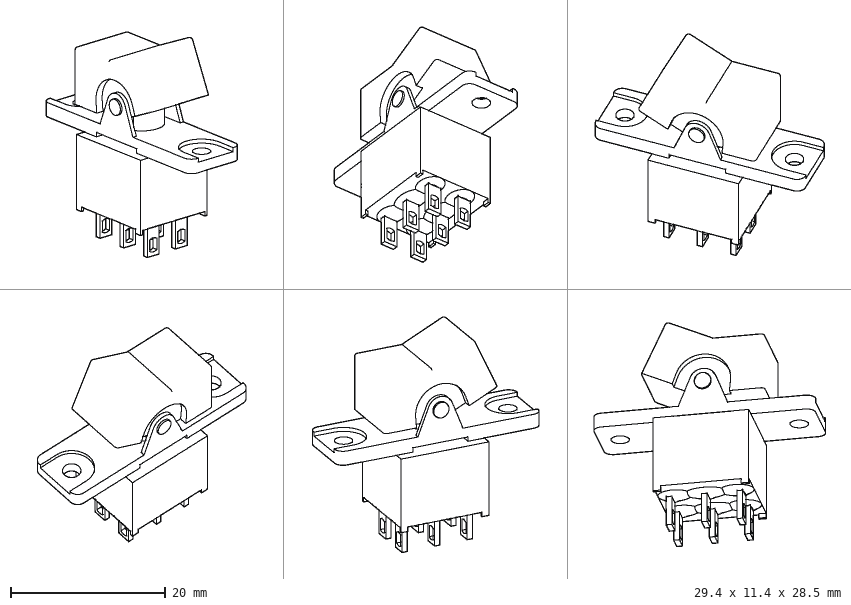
import cadquery as cq
import math


PLATE_LENGTH = 29.35
PLATE_WIDTH = 8.7
PLATE_THICKNESS = 2.0
PLATE_CORNER_RADIUS = 1.2
SCREW_SPACING = 23.72
SCREW_HOLE_DIAMETER = 2.38
SCREW_POCKET_WIDTH = 5.95
SCREW_POCKET_DEPTH = 0.55
UNDERSIDE_SLOT_LENGTH = 7.95
UNDERSIDE_SLOT_HEIGHT = 0.62

COLLAR_DIAMETER = 6.37
COLLAR_WIDTH = 5.52
NECK_DIAMETER = 5.95
NECK_WIDTH = 5.23

PIVOT_HEIGHT = 5.28
PIVOT_DIAMETER = 2.2
EAR_TIP_RADIUS = 1.82
EAR_BASE_LENGTH = 6.52
EAR_THICKNESS = 0.6

ROCKER_WIDTH = 9.25
ROCKER_TILT = 12.5
ROCKER_TOP = 6.08
ROCKER_BOTTOM = -1.82
ROCKER_REACH = 8.2
ROCKER_FILLET = 0.47
RECESS_RADIUS = 3.73
RECESS_DEPTH = 1.05
RECESS_FLARE = 7.0

BODY_LENGTH = 12.7
BODY_WIDTH = 11.42
BODY_HEIGHT = 10.42
FOOT_LENGTH = 1.0
FOOT_WIDTH = 0.38
FOOT_HEIGHT = 0.62

TERMINAL_BOTTOM = -14.4
TERMINAL_THICKNESS = 0.75
TERMINAL_WIDTH = 2.03
TERMINAL_PITCH_X = 4.7
TERMINAL_PITCH_Y = 4.82
EYE_WIDTH = 1.17
EYE_HEIGHT = 1.9
EYE_CROWN = 0.18
EYE_END_GAP = 0.55
CONE_HEIGHT = 0.6
CONE_TIP_LENGTH = 1.0
CONE_TIP_WIDTH = 2.1
CONE_BASE_WIDTH = 3.4
CONE_OVERLAP = 0.47

PLATE_TOP = PLATE_THICKNESS
RECESS_FLOOR = ROCKER_WIDTH / 2 - RECESS_DEPTH
SEAL_LEVEL = FOOT_HEIGHT - BODY_HEIGHT
CAVITY_LENGTH = BODY_LENGTH - 2 * FOOT_LENGTH
CAVITY_WIDTH = BODY_WIDTH - 2 * FOOT_WIDTH


def block(length, width, bottom, top):
    """Box centred on the Z axis between two heights."""
    return cq.Workplane("XY", origin=(0, 0, bottom)).rect(length, width).extrude(top - bottom)


def extrude_along_y(profile, y_start, y_end):
    """Extrude a profile drawn on the XZ plane between two Y positions."""
    return profile.extrude(y_start - y_end).translate((0, y_start, 0))


def flatted_round(diameter, width, bottom, top):
    """Vertical cylinder with two flats facing -Y and +Y."""
    cylinder = cq.Workplane("XY", origin=(0, 0, bottom)).circle(diameter / 2).extrude(top - bottom)
    return cylinder.intersect(block(diameter, width, bottom, top))


def arch_profile(radius, base_half, base_drop):
    """Outline around the origin: an arc on top, tangent straight sides, a level base below."""
    base_angle = math.atan2(base_drop, base_half)
    tangent_angle = math.acos(radius / math.hypot(base_half, base_drop)) - base_angle
    side_x = radius * math.cos(tangent_angle)
    side_z = radius * math.sin(tangent_angle)
    return (
        cq.Workplane("XZ")
        .moveTo(-base_half, -base_drop)
        .lineTo(-side_x, side_z)
        .threePointArc((0, radius), (side_x, side_z))
        .lineTo(base_half, -base_drop)
        .close()
    )


def make_plate():
    plate = block(PLATE_LENGTH, PLATE_WIDTH, 0, PLATE_TOP).edges("|Z").fillet(PLATE_CORNER_RADIUS)
    plate = plate.cut(block(UNDERSIDE_SLOT_LENGTH, PLATE_WIDTH, 0, UNDERSIDE_SLOT_HEIGHT))
    pocket_floor = PLATE_TOP - SCREW_POCKET_DEPTH
    for side in (-1, 1):
        screw_x = side * SCREW_SPACING / 2
        open_end = side * PLATE_LENGTH / 2
        floor_plane = cq.Workplane("XY", origin=(0, 0, pocket_floor))
        pocket_round = floor_plane.center(screw_x, 0).circle(SCREW_POCKET_WIDTH / 2)
        pocket_round = pocket_round.extrude(SCREW_POCKET_DEPTH)
        pocket_run = (
            floor_plane.center((screw_x + open_end) / 2, 0)
            .rect(abs(open_end - screw_x), SCREW_POCKET_WIDTH)
            .extrude(SCREW_POCKET_DEPTH)
        )
        hole = cq.Workplane("XY").center(screw_x, 0).circle(SCREW_HOLE_DIAMETER / 2).extrude(PLATE_TOP)
        plate = plate.cut(pocket_round).cut(pocket_run).cut(hole)
    return plate


def make_ears():
    profile = arch_profile(EAR_TIP_RADIUS, EAR_BASE_LENGTH / 2, PIVOT_HEIGHT - PLATE_TOP)
    outer = PLATE_WIDTH / 2
    front_ear = extrude_along_y(profile, -outer, EAR_THICKNESS - outer)
    return front_ear.union(front_ear.mirror("XZ")).translate((0, 0, PIVOT_HEIGHT))


def make_pivot_pin():
    pin = cq.Workplane("XZ").circle(PIVOT_DIAMETER / 2)
    return extrude_along_y(pin, -ROCKER_WIDTH / 2, ROCKER_WIDTH / 2).translate((0, 0, PIVOT_HEIGHT))


def make_rocker():
    """Two equal arms meeting on a tilted symmetry plane through the pivot."""
    lean = math.tan(math.radians(ROCKER_TILT))
    arm_profile = cq.Workplane("XZ").polyline([
        (-ROCKER_TOP * lean, ROCKER_TOP),
        (-ROCKER_REACH, ROCKER_TOP),
        (-ROCKER_REACH, ROCKER_BOTTOM),
        (-ROCKER_BOTTOM * lean, ROCKER_BOTTOM),
    ]).close()
    level_arm = extrude_along_y(arm_profile, -ROCKER_WIDTH / 2, ROCKER_WIDTH / 2)
    level_arm = level_arm.edges("|Z or (>Z and |X) or (>Z and <X)").fillet(ROCKER_FILLET)
    raised_arm = level_arm.mirror("YZ").rotate((0, 0, 0), (0, 1, 0), -2 * ROCKER_TILT)
    rocker = level_arm.union(raised_arm)

    flare = math.radians(RECESS_FLARE)
    recess_drop = RECESS_RADIUS
    recess_half = RECESS_RADIUS / math.cos(flare) + recess_drop * math.tan(flare)
    recess_profile = arch_profile(RECESS_RADIUS, recess_half, recess_drop)
    recess = extrude_along_y(recess_profile, -ROCKER_WIDTH / 2, -RECESS_FLOOR)
    recess = recess.rotate((0, 0, 0), (0, 1, 0), -ROCKER_TILT)
    return rocker.cut(recess).cut(recess.mirror("XZ")).translate((0, 0, PIVOT_HEIGHT))


def make_body():
    """Housing whose underside is relieved in both directions, leaving four corner feet."""
    body = block(BODY_LENGTH, BODY_WIDTH, -BODY_HEIGHT, 0)
    body = body.cut(block(CAVITY_LENGTH, BODY_WIDTH, -BODY_HEIGHT, SEAL_LEVEL))
    return body.cut(block(BODY_LENGTH, CAVITY_WIDTH, -BODY_HEIGHT, SEAL_LEVEL))


def make_terminal():
    terminal = block(TERMINAL_THICKNESS, TERMINAL_WIDTH, TERMINAL_BOTTOM, SEAL_LEVEL)
    half_width = EYE_WIDTH / 2
    eye_bottom = TERMINAL_BOTTOM + EYE_END_GAP
    eye_top = eye_bottom + EYE_HEIGHT
    eye = (
        cq.Workplane("YZ")
        .moveTo(-half_width, eye_bottom + EYE_CROWN)
        .threePointArc((0, eye_bottom), (half_width, eye_bottom + EYE_CROWN))
        .lineTo(half_width, eye_top - EYE_CROWN)
        .threePointArc((0, eye_top), (-half_width, eye_top - EYE_CROWN))
        .close()
        .extrude(TERMINAL_THICKNESS / 2, both=True)
    )
    return terminal.cut(eye)


def make_sealant_cone(column):
    """Elliptical cone from the seal surface to a terminal, its base kept within the body length."""
    terminal_x = column * TERMINAL_PITCH_X
    reach = TERMINAL_PITCH_X / 2 + CONE_OVERLAP
    base_left = max(terminal_x - reach, -BODY_LENGTH / 2)
    base_right = min(terminal_x + reach, BODY_LENGTH / 2)
    base_x = (base_left + base_right) / 2
    base_radius = (base_right - base_left) / 2
    return (
        cq.Workplane("XY", origin=(base_x, 0, SEAL_LEVEL))
        .ellipse(base_radius, CONE_BASE_WIDTH / 2)
        .workplane(offset=-CONE_HEIGHT)
        .center(terminal_x - base_x, 0)
        .ellipse(CONE_TIP_LENGTH / 2, CONE_TIP_WIDTH / 2)
        .loft(ruled=True)
    )


result = make_body().union(make_plate())
result = result.union(flatted_round(COLLAR_DIAMETER, COLLAR_WIDTH, 0, PLATE_TOP))
result = result.union(flatted_round(NECK_DIAMETER, NECK_WIDTH, PLATE_TOP, PIVOT_HEIGHT))
result = result.union(make_ears()).union(make_rocker()).union(make_pivot_pin())

terminal = make_terminal()
for column in (-1, 0, 1):
    terminal_x = column * TERMINAL_PITCH_X
    cone = make_sealant_cone(column)
    for row in (-0.5, 0.5):
        row_y = row * TERMINAL_PITCH_Y
        result = result.union(terminal.translate((terminal_x, row_y, 0)))
        result = result.union(cone.translate((0, row_y, 0)))